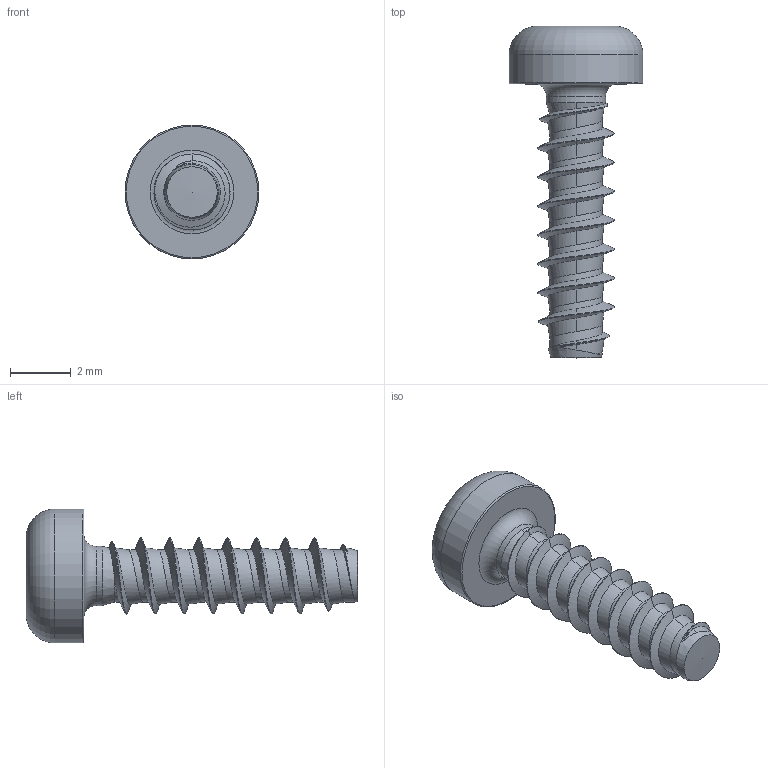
import cadquery as cq
import math


head_radius = 2.2
head_height = 1.9
crown_radius = 0.95
rim_fillet = 0.04

shank_length = 9.0
neck_radius = 0.975
neck_fillet = 0.4
neck_depth = 0.62
neck_cone_depth = 1.02
core_radius = 0.86
point_rim_radius = 0.83
point_cone_height = 0.02
point_bevel_length = 0.4
point_bevel_slope = 0.3

pitch = 0.95
crest_radius = 1.25
crest_half_width = 0.01
head_flank_slope = 0.45
point_flank_slope = 0.33
root_radius = 0.80
foot_radius = 0.93
root_cone_slope = 0.155
root_cone_end = 0.60
thread_phase = 0.92
thread_start = thread_phase - pitch
turns = math.ceil((shank_length + root_cone_end - thread_start) / pitch)
samples_per_turn = 24

runout_radius = 0.93
lead_in_start = 0.30
lead_in_end = 1.35
lead_out_start = 7.70
lead_out_end = 8.85


def make_head():
    """Revolve the head, the neck fillet and the cone that blends the neck into the core."""
    rim_mid = rim_fillet * (1 - math.sqrt(0.5))
    neck_mid = neck_fillet * (1 - math.sqrt(0.5))
    crown_offset = crown_radius * math.sqrt(0.5)
    crown_center_radius = head_radius - crown_radius
    crown_center_y = head_height - crown_radius
    profile = (
        cq.Workplane("YZ")
        .moveTo(head_height, 0)
        .lineTo(head_height, crown_center_radius)
        .threePointArc(
            (crown_center_y + crown_offset, crown_center_radius + crown_offset),
            (crown_center_y, head_radius),
        )
        .lineTo(rim_fillet, head_radius)
        .threePointArc((rim_mid, head_radius - rim_mid), (0, head_radius - rim_fillet))
        .lineTo(0, neck_radius + neck_fillet)
        .threePointArc((-neck_mid, neck_radius + neck_mid), (-neck_fillet, neck_radius))
        .lineTo(-neck_depth, neck_radius)
        .lineTo(-neck_cone_depth, core_radius)
        .lineTo(-neck_cone_depth, 0)
        .close()
    )
    return profile.revolve(360, (0, 0, 0), (1, 0, 0))


def crest_radius_at(depth):
    """Crest radius at a given depth, including both runouts."""
    lead_in = (depth - lead_in_start) / (lead_in_end - lead_in_start)
    lead_out = (lead_out_end - depth) / (lead_out_end - lead_out_start)
    fullness = max(0.0, min(1.0, lead_in, lead_out))
    return runout_radius + fullness * (crest_radius - runout_radius)


def rib_section(depth):
    """Corners (axial offset toward the point, radius) of the thread rib."""
    crest = crest_radius_at(depth)
    head_foot = -crest_half_width - head_flank_slope * (crest - root_radius)
    point_foot = crest_half_width + point_flank_slope * (crest - foot_radius)
    root_cone_radius = foot_radius - root_cone_slope * (root_cone_end - point_foot)
    return [
        (head_foot, root_radius),
        (-crest_half_width, crest),
        (crest_half_width, crest),
        (point_foot, foot_radius),
        (root_cone_end, root_cone_radius),
        (root_cone_end, root_radius),
    ]


def rib_corner_points(depth):
    """Corners of the thread rib placed on its right-handed helix."""
    angle = 2 * math.pi * (depth - thread_phase) / pitch
    return [
        cq.Vector(-radius * math.sin(angle), -(depth + offset), radius * math.cos(angle))
        for offset, radius in rib_section(depth)
    ]


def make_thread():
    """Close ruled helical faces, one set per turn, and two flat end faces into a solid rib."""
    steps = turns * samples_per_turn
    sections = [rib_corner_points(thread_start + i * pitch / samples_per_turn) for i in range(steps + 1)]
    faces = []
    for turn in range(turns):
        first = turn * samples_per_turn
        turn_sections = sections[first:first + samples_per_turn + 1]
        edges = [cq.Edge.makeSpline(list(corner)) for corner in zip(*turn_sections)]
        for i, edge in enumerate(edges):
            faces.append(cq.Face.makeRuledSurface(edge, edges[(i + 1) % len(edges)]))
    for section in (sections[0], sections[-1]):
        faces.append(cq.Face.makeFromWires(cq.Wire.makePolygon(section, close=True)))
    return cq.Solid.makeSolid(cq.Shell.makeShell(faces))


def make_threaded_core():
    """Join the thread to the core and finish the end with a bevel and a shallow cone."""
    core = cq.Workplane("XZ").circle(core_radius).extrude(thread_start + (turns + 1) * pitch)
    threaded = core.union(cq.Workplane(obj=make_thread()))
    rim_depth = shank_length - point_cone_height
    bevel_depth = rim_depth - point_bevel_length
    bevel_radius = point_rim_radius + point_bevel_slope * point_bevel_length
    envelope = (
        cq.Workplane("YZ")
        .moveTo(head_height, 0)
        .lineTo(head_height, head_radius)
        .lineTo(-bevel_depth, head_radius)
        .lineTo(-bevel_depth, bevel_radius)
        .lineTo(-rim_depth, point_rim_radius)
        .lineTo(-shank_length, 0)
        .close()
        .revolve(360, (0, 0, 0), (1, 0, 0))
    )
    return threaded.intersect(envelope)


result = make_head().union(make_threaded_core())